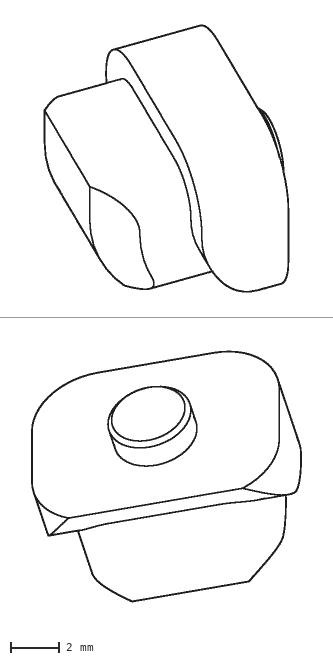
import cadquery as cq
import math

flange_width = 10.6
flange_height = 8.64
flange_depth = 3.9
flange_corner_radius = 2.82

nose_margin = 1.2
nose_width = flange_width - 2 * nose_margin
nose_height = flange_height - 2 * nose_margin
nose_depth = 2 * flange_depth
nose_corner_radius = 1.79
nose_bevel = 1.6

curve_start_z = 1.26
flange_curve_semi_y = 7.38
flange_curve_semi_z = 6.0
nose_curve_radius = 6.89

pin_diameter = 3.55
pin_length = 1.29
pin_chamfer = 0.2


def rounded_block(width, height, depth, corner_radius):
    """Block with rounded corners, extending from Y = 0 towards -Y."""
    return (
        cq.Workplane("XZ")
        .rect(width, height)
        .extrude(depth)
        .edges("|Y")
        .fillet(corner_radius)
    )


def curved_profile(plane_x, half_height, depth, semi_y, semi_z):
    """YZ outline: a flat front face that runs tangentially into an elliptical arc.

    The arc stops at the bottom of the block or at the back face, whichever comes first.
    """
    back_ratio = 1 - depth / semi_y
    back_drop = semi_z * math.sqrt(1 - back_ratio**2)
    bottom_drop = curve_start_z + half_height
    end_drop = min(back_drop, bottom_drop)
    end_angle = 180 + math.degrees(math.asin(end_drop / semi_z))
    outline = (
        cq.Workplane("YZ", origin=(plane_x, 0, 0))
        .moveTo(0, half_height)
        .lineTo(-depth, half_height)
        .lineTo(-depth, curve_start_z)
        .ellipseArc(semi_y, semi_z, 180, end_angle, sense=1, startAtCurrent=True)
    )
    if end_drop < back_drop:
        outline = outline.lineTo(0, -half_height)
    return outline.close()


def make_flange():
    block = rounded_block(flange_width, flange_height, flange_depth, flange_corner_radius)
    envelope = curved_profile(
        -flange_width / 2,
        flange_height / 2,
        flange_depth,
        flange_curve_semi_y,
        flange_curve_semi_z,
    ).extrude(flange_width)
    return block.intersect(envelope)


def make_nose():
    block = rounded_block(nose_width, nose_height, nose_depth, nose_corner_radius)
    front_half_width = nose_width / 2 - nose_bevel

    def profile_at(plane_x):
        return curved_profile(
            plane_x, nose_height / 2, nose_depth, nose_curve_radius, nose_curve_radius
        )

    envelope = profile_at(-front_half_width).extrude(2 * front_half_width)
    for side in (-1, 1):
        profile_wire = profile_at(side * front_half_width).val()
        bevel_direction = cq.Vector(side * nose_bevel, nose_bevel, 0)
        wing = cq.Solid.extrudeLinear(profile_wire, [], bevel_direction)
        envelope = envelope.union(cq.Workplane(wing))
    return block.intersect(envelope)


def make_pin():
    return (
        cq.Workplane("XZ")
        .circle(pin_diameter / 2)
        .extrude(-pin_length)
        .faces(">Y")
        .chamfer(pin_chamfer)
    )


result = make_flange().union(make_nose()).union(make_pin())